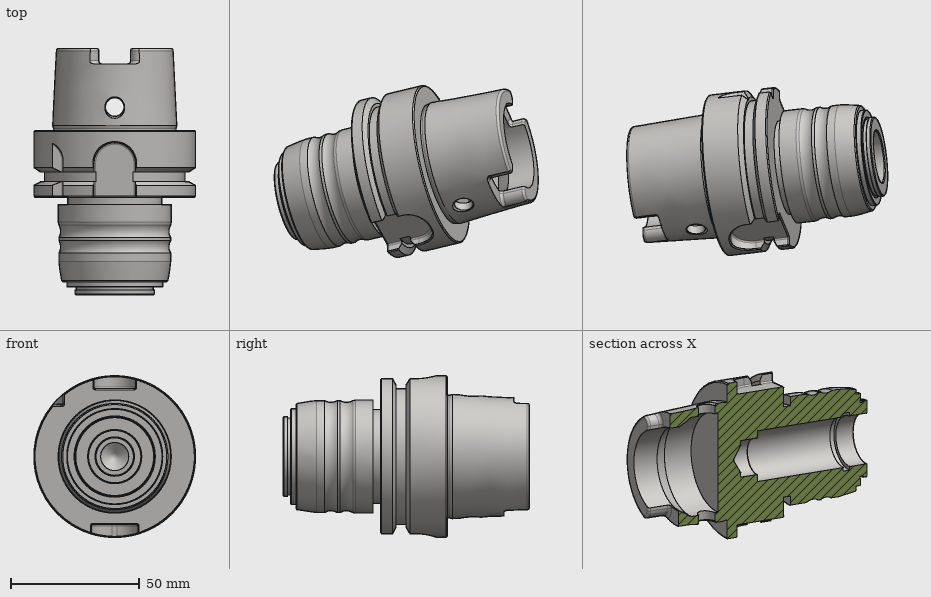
import cadquery as cq
import math


LENGTH = 95.9
NOSE_LIP_END = 1.8
NOSE_END = 3.0
COLLAR_END = 5.0
CROWN_END = 13.0
GRIP_START_1 = 16.2
GRIP_START_2 = 22.25
GRIP_WIDTH = 4.9
SLEEVE_STEP = 28.3
SLEEVE_END = 35.1
FLANGE_FRONT = 37.9
FLANGE_BACK = 64.0
TAPER_START = 65.9

NOSE_LIP_R = 15.5
NOSE_R = 15.1
COLLAR_RECESS_R = 15.8
COLLAR_RECESS_DEPTH = 0.2
COLLAR_R = 18.7
CROWN_FRONT_R = 20.7
CROWN_MID_R = 21.4
GRIP_R = 43.6 / 2
GRIP_DIP = 0.7
SLEEVE_R = 22.1
NECK_R = 36.7 / 2
FLANGE_R = 63.0 / 2
TAPER_NECK_R = 23.9
TAPER_R = 48.4 / 2
TAPER_SLOPE = 0.05

NOSE_CHAMFER = 0.4
COLLAR_CHAMFER = 0.3
CROWN_CHAMFER = 0.5
FLANGE_CHAMFER = 0.5
END_FILLET = 1.0
UNDERCUT_WIDTH = 0.7

GROOVE_FRONT = 44.0
GROOVE_BACK = 47.8
GROOVE_R = 27.4
GROOVE_WALL_R = 28.9
GROOVE_BEVEL_FRONT = 1.4
GROOVE_BEVEL_BACK = 1.7

SLOT_OVERRUN = 4.8
SLOT_END = 59.2
SLOT_END_R = 8.1
SLOT_FLOOR_FILLET = 0.6
TOP_SLOT_HALF = 8.1
BOTTOM_SLOT_HALF = 9.0
SLOT_FLOOR_Z = 26.5
SIDE_NOTCH_OFFSET = 20.0
SIDE_NOTCH_END = 59.9
SIDE_NOTCH_FILLET = 0.4

DRIVE_HALF = 6.1
DRIVE_ROUND_R = 3.55
DRIVE_ROUND_TOP = 20.7
DRIVE_FLOOR_FILLET = 1.2
TOP_DRIVE_DEPTH = 6.0
BOTTOM_DRIVE_DEPTH = 9.9

CROSS_HOLE_Y = 73.1
CROSS_HOLE_R = 7.2 / 2
CROSS_HOLE_CHAMFER = 0.6

MOUTH_R = 17.0
MOUTH_DEPTH = 10.55
CLAMP_R = 19.9
CLAMP_FLOOR = 68.1
SHOULDER_ANGLE = math.radians(30)
SHOULDER_LENGTH = (CLAMP_R - MOUTH_R) / math.tan(SHOULDER_ANGLE)

BORE_R = 10.2
BORE_CHAMFER = 0.4
BORE_GROOVE_START = 8.15
BORE_GROOVE_WIDTH = 2.7
BORE_GROOVE_DEPTH = 1.4
BORE_DEPTH = 49.9
INNER_BORE_R = 7.3
INNER_BORE_DEPTH = 57.5
DRILL_R = 5.5
DRILL_HALF_ANGLE = math.radians(59)
DRILL_CONE = DRILL_R / math.tan(DRILL_HALF_ANGLE)

TOLERANCE = 0.001


def turned(profile):
    """Revolve an outline of (radius, Y) around the Y axis."""
    return profile.close().revolve(360, (0, 0, 0), (0, 1, 0))


def make_nose_and_sleeve():
    grip_end_1 = GRIP_START_1 + GRIP_WIDTH
    grip_end_2 = GRIP_START_2 + GRIP_WIDTH
    crown_start = COLLAR_END + CROWN_CHAMFER
    return turned(
        cq.Workplane("XY")
        .moveTo(0, 0)
        .lineTo(NOSE_LIP_R - NOSE_CHAMFER, 0)
        .lineTo(NOSE_LIP_R, NOSE_CHAMFER)
        .lineTo(NOSE_LIP_R, NOSE_LIP_END)
        .lineTo(NOSE_R, NOSE_LIP_END)
        .lineTo(NOSE_R, NOSE_END + COLLAR_RECESS_DEPTH)
        .lineTo(COLLAR_RECESS_R, NOSE_END + COLLAR_RECESS_DEPTH)
        .lineTo(COLLAR_RECESS_R, NOSE_END)
        .lineTo(COLLAR_R - COLLAR_CHAMFER, NOSE_END)
        .lineTo(COLLAR_R, NOSE_END + COLLAR_CHAMFER)
        .lineTo(COLLAR_R, COLLAR_END)
        .lineTo(CROWN_FRONT_R - CROWN_CHAMFER, COLLAR_END)
        .lineTo(CROWN_FRONT_R, crown_start)
        .threePointArc((CROWN_MID_R, (crown_start + CROWN_END) / 2), (GRIP_R, CROWN_END))
        .lineTo(GRIP_R, GRIP_START_1)
        .threePointArc((GRIP_R - GRIP_DIP, GRIP_START_1 + GRIP_WIDTH / 2), (GRIP_R, grip_end_1))
        .lineTo(GRIP_R, GRIP_START_2)
        .threePointArc((GRIP_R - GRIP_DIP, GRIP_START_2 + GRIP_WIDTH / 2), (GRIP_R, grip_end_2))
        .lineTo(SLEEVE_R, SLEEVE_STEP)
        .lineTo(SLEEVE_R, SLEEVE_END)
        .lineTo(NECK_R, SLEEVE_END)
        .lineTo(NECK_R, FLANGE_FRONT)
        .lineTo(0, FLANGE_FRONT)
    )


def round_ended_cutter(half_width, end_y, floor_z, floor_fillet):
    """Cutter with rounded end corners that sinks into the +Z side down to floor_z."""
    start = FLANGE_FRONT - SLOT_OVERRUN
    corner_y = end_y - SLOT_END_R
    flat = half_width - SLOT_END_R
    bulge = SLOT_END_R * math.sqrt(0.5)
    outline = (
        cq.Workplane("XY", origin=(0, 0, floor_z))
        .moveTo(-half_width, start)
        .lineTo(-half_width, corner_y)
        .threePointArc((-flat - bulge, corner_y + bulge), (-flat, end_y))
    )
    if flat > 0:
        outline = outline.lineTo(flat, end_y)
    outline = (
        outline.threePointArc((flat + bulge, corner_y + bulge), (half_width, corner_y))
        .lineTo(half_width, start)
        .close()
    )
    return outline.extrude(FLANGE_R).faces("<Z").edges().fillet(floor_fillet)


def is_slot_rim(edge):
    """True for the edges where the top and bottom slots break through the flange rim."""
    points = [edge.positionAt(t) for t in (0.1, 0.5, 0.9)]
    on_rim = all(abs(math.hypot(p.x, p.z) - FLANGE_R) < TOLERANCE for p in points)
    in_slot = all(abs(p.x) < BOTTOM_SLOT_HALF + TOLERANCE for p in points)
    between_faces = FLANGE_FRONT + TOLERANCE < points[1].y < FLANGE_BACK - TOLERANCE
    return on_rim and in_slot and between_faces


def make_flange():
    width = FLANGE_BACK - FLANGE_FRONT
    flange = cq.Workplane("XZ", origin=(0, FLANGE_BACK, 0)).circle(FLANGE_R).extrude(width)

    top_slot = round_ended_cutter(TOP_SLOT_HALF, SLOT_END, SLOT_FLOOR_Z, SLOT_FLOOR_FILLET)
    bottom_slot = round_ended_cutter(BOTTOM_SLOT_HALF, SLOT_END, SLOT_FLOOR_Z, SLOT_FLOOR_FILLET)
    bottom_slot = bottom_slot.rotate((0, 0, 0), (0, 1, 0), 180)
    side_notch = round_ended_cutter(SLOT_END_R, SIDE_NOTCH_END, SIDE_NOTCH_OFFSET, SIDE_NOTCH_FILLET)
    side_notch = side_notch.translate((-SIDE_NOTCH_OFFSET - SLOT_END_R, 0, 0))
    flange = flange.cut(top_slot).cut(bottom_slot).cut(side_notch)

    slot_rims = [edge for edge in flange.edges().vals() if is_slot_rim(edge)]
    flange = flange.newObject(slot_rims).chamfer(FLANGE_CHAMFER)
    flange = flange.faces("<Y").edges().chamfer(FLANGE_CHAMFER)
    flange = flange.faces(">Y").edges().chamfer(FLANGE_CHAMFER)

    outside_r = FLANGE_R + 1
    gripper_groove = turned(
        cq.Workplane("XY")
        .moveTo(GROOVE_R, GROOVE_FRONT)
        .lineTo(GROOVE_WALL_R, GROOVE_FRONT)
        .lineTo(FLANGE_R, GROOVE_FRONT - GROOVE_BEVEL_FRONT)
        .lineTo(outside_r, GROOVE_FRONT - GROOVE_BEVEL_FRONT)
        .lineTo(outside_r, GROOVE_BACK + GROOVE_BEVEL_BACK)
        .lineTo(FLANGE_R, GROOVE_BACK + GROOVE_BEVEL_BACK)
        .lineTo(GROOVE_WALL_R, GROOVE_BACK)
        .lineTo(GROOVE_R, GROOVE_BACK)
    )
    return flange.cut(gripper_groove)


def make_shank():
    fillet_start = LENGTH - END_FILLET
    end_r = TAPER_R - TAPER_SLOPE * (fillet_start - TAPER_START)
    fillet_bulge = END_FILLET * math.sqrt(0.5)
    shank = turned(
        cq.Workplane("XY")
        .moveTo(0, FLANGE_BACK)
        .lineTo(TAPER_NECK_R, FLANGE_BACK)
        .lineTo(TAPER_NECK_R, FLANGE_BACK + UNDERCUT_WIDTH)
        .lineTo(TAPER_R, TAPER_START)
        .lineTo(end_r, fillet_start)
        .threePointArc(
            (end_r - END_FILLET + fillet_bulge, fillet_start + fillet_bulge),
            (end_r - END_FILLET, LENGTH),
        )
        .lineTo(0, LENGTH)
    )
    top_drive_slot = make_drive_slot(TOP_DRIVE_DEPTH)
    bottom_drive_slot = make_drive_slot(BOTTOM_DRIVE_DEPTH).rotate((0, 0, 0), (0, 1, 0), 180)
    return shank.cut(top_drive_slot).cut(bottom_drive_slot).cut(make_cross_hole())


def make_clamping_space():
    return turned(
        cq.Workplane("XY")
        .moveTo(0, LENGTH)
        .lineTo(MOUTH_R, LENGTH)
        .lineTo(MOUTH_R, LENGTH - MOUTH_DEPTH)
        .lineTo(CLAMP_R, LENGTH - MOUTH_DEPTH - SHOULDER_LENGTH)
        .lineTo(CLAMP_R, CLAMP_FLOOR)
        .lineTo(0, CLAMP_FLOOR)
    )


def is_flank(edge):
    """True for the edges where the sides of a drive slot meet the end face of the shank."""
    box = edge.BoundingBox()
    on_end_face = box.ymin > LENGTH - TOLERANCE and box.ymax < LENGTH + TOLERANCE
    x = abs(edge.Center().x)
    return on_end_face and DRIVE_HALF - TOLERANCE < x < DRIVE_HALF + DRIVE_ROUND_R + TOLERANCE


def make_drive_slot(depth):
    """Cutter for the +Z drive slot; its sides flare out and turn into the end face over convex rounds."""
    round_x = DRIVE_HALF + DRIVE_ROUND_R
    round_z = DRIVE_ROUND_TOP - DRIVE_ROUND_R
    mid_x = round_x - DRIVE_ROUND_R * math.sqrt(0.5)
    mid_z = round_z + DRIVE_ROUND_R * math.sqrt(0.5)
    slot = (
        cq.Workplane("XZ", origin=(0, LENGTH, 0))
        .moveTo(-DRIVE_HALF, 0)
        .lineTo(DRIVE_HALF, 0)
        .lineTo(DRIVE_HALF, round_z)
        .threePointArc((mid_x, mid_z), (round_x, DRIVE_ROUND_TOP))
        .lineTo(round_x, TAPER_R + DRIVE_FLOOR_FILLET)
        .lineTo(-round_x, TAPER_R + DRIVE_FLOOR_FILLET)
        .lineTo(-round_x, DRIVE_ROUND_TOP)
        .threePointArc((-mid_x, mid_z), (-DRIVE_HALF, round_z))
        .close()
        .extrude(depth)
        .faces("<Y")
        .edges()
        .fillet(DRIVE_FLOOR_FILLET)
    )
    plate = cq.Workplane("XY").box(2 * FLANGE_R, END_FILLET, 2 * FLANGE_R)
    cutter = slot.union(plate.translate((0, LENGTH + END_FILLET / 2, 0)))
    flanks = [edge for edge in cutter.edges().vals() if is_flank(edge)]
    return cutter.newObject(flanks).fillet(END_FILLET)


def make_cross_hole():
    hole = cq.Workplane("XY", origin=(0, CROSS_HOLE_Y, -TAPER_R)).circle(CROSS_HOLE_R).extrude(2 * TAPER_R)
    wall_r = TAPER_R - TAPER_SLOPE * (CROSS_HOLE_Y - TAPER_START)
    for side in (1, -1):
        countersink = cq.Solid.makeCone(
            CROSS_HOLE_R,
            CROSS_HOLE_R + 2 * CROSS_HOLE_CHAMFER,
            2 * CROSS_HOLE_CHAMFER,
            pnt=cq.Vector(0, CROSS_HOLE_Y, side * (wall_r - CROSS_HOLE_CHAMFER)),
            dir=cq.Vector(0, 0, side),
        )
        hole = hole.union(cq.Workplane(countersink))
    return hole


def make_tool_bore():
    return turned(
        cq.Workplane("XY")
        .moveTo(0, 0)
        .lineTo(BORE_R + BORE_CHAMFER, 0)
        .lineTo(BORE_R, BORE_CHAMFER)
        .lineTo(BORE_R, BORE_GROOVE_START)
        .lineTo(BORE_R + BORE_GROOVE_DEPTH, BORE_GROOVE_START)
        .lineTo(BORE_R + BORE_GROOVE_DEPTH, BORE_GROOVE_START + BORE_GROOVE_WIDTH)
        .lineTo(BORE_R, BORE_GROOVE_START + BORE_GROOVE_WIDTH)
        .lineTo(BORE_R, BORE_DEPTH)
        .lineTo(INNER_BORE_R + BORE_CHAMFER, BORE_DEPTH)
        .lineTo(INNER_BORE_R, BORE_DEPTH + BORE_CHAMFER)
        .lineTo(INNER_BORE_R, INNER_BORE_DEPTH)
        .lineTo(DRILL_R, INNER_BORE_DEPTH)
        .lineTo(0, INNER_BORE_DEPTH + DRILL_CONE)
    )


body = make_nose_and_sleeve().union(make_flange()).union(make_shank())
result = body.cut(make_clamping_space()).cut(make_tool_bore())